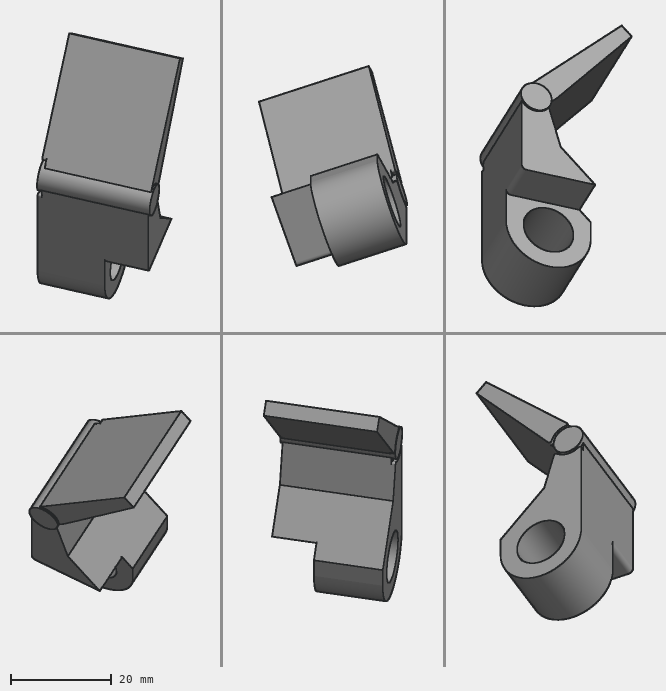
import cadquery as cq
import math

total_height = 56.2
leaf_width = 23.1
pin_radius = 3.25
pin_length = 23.5
face_offset = 2.9

lean_angle = 45.0
flap_length = 28.7
flap_tip_thickness = 3.05
flap_root_thickness = 5.4
flap_taper_start = 4.05
lean = math.radians(lean_angle)
flap_top = flap_length * math.sin(lean) + face_offset * math.cos(lean)

ring_radius = 9.0
bore_radius = 5.3
ring_width = 14.05
ring_y = ring_radius - face_offset
ring_z = flap_top - total_height + ring_radius
shoulder_z = -20.75
waist_y = 5.35
waist_z = -10.8
neck_y = 2.3
underside_z = -18.25
underside_rounding = 1.0

recess_depth = 0.9
recess_radius = 3.8
ear_rounding = 0.4


def cylinder(y, z, radius, length):
    """Cylinder along +X starting at X = 0."""
    return cq.Workplane("YZ").center(y, z).circle(radius).extrude(length)


def relieve_around_pin(leaf):
    """Clear the pin at the flush end of a leaf and round the ears this leaves."""
    end_slab = cq.Workplane("XY").box(
        recess_depth, 2 * total_height, 2 * total_height, centered=(False, True, True)
    )
    clearance = cylinder(0, 0, recess_radius, recess_depth)
    end_piece = leaf.intersect(end_slab).cut(clearance)

    ear_edges = [
        edge
        for edge in end_piece.edges("|X").vals()
        if abs(math.hypot(edge.Center().y, edge.Center().z) - recess_radius) < 0.0005
    ]
    end_piece = end_piece.newObject(ear_edges).fillet(ear_rounding)
    return leaf.cut(end_slab).union(end_piece)


def make_lower_leaf():
    back_y = ring_y + ring_radius
    body = (
        cq.Workplane("YZ")
        .moveTo(-face_offset, 0)
        .lineTo(-face_offset, ring_z)
        .threePointArc((ring_y, ring_z - ring_radius), (back_y, ring_z))
        .lineTo(back_y, shoulder_z)
        .lineTo(waist_y, waist_z)
        .lineTo(neck_y, 0)
        .close()
        .extrude(leaf_width)
    )
    bore = cylinder(ring_y, ring_z, bore_radius, leaf_width)
    beside_ring = (
        cq.Workplane("XY")
        .box(leaf_width, 2 * total_height, total_height, centered=(False, True, False))
        .translate((ring_width, 0, underside_z - total_height))
    )
    leaf = body.cut(bore).cut(beside_ring)

    underside_front = cq.selectors.NearestToPointSelector(
        ((ring_width + leaf_width) / 2, -face_offset, underside_z)
    )
    leaf = leaf.edges(underside_front).fillet(underside_rounding)
    return relieve_around_pin(leaf)


def make_flap():
    """Tapered leaf drawn lying along +Y, then tilted up about the pin axis."""
    root_back = face_offset - flap_root_thickness
    outline = [
        (0, face_offset),
        (flap_length, face_offset),
        (flap_length, face_offset - flap_tip_thickness),
        (flap_taper_start, root_back),
        (0, root_back),
    ]
    flap = cq.Workplane("YZ").polyline(outline).close().extrude(leaf_width)
    return relieve_around_pin(flap).rotate((0, 0, 0), (1, 0, 0), lean_angle)


pin = cylinder(0, 0, pin_radius, pin_length)
result = pin.union(make_lower_leaf()).union(make_flap())